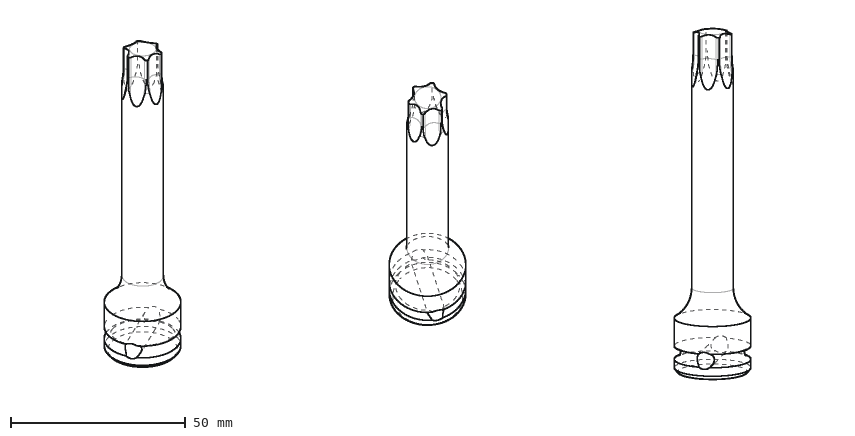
import cadquery as cq
import math

total_length = 100.0
base_radius = 11.0
base_chamfer_width = 1.0
base_chamfer_height = 1.2
collar_top = 15.8
shank_radius = 6.0
neck_radius = 10.4

ring_groove_bottom = 3.7
ring_groove_top = 7.6
ring_groove_radius = 9.2
pin_hole_diameter = 5.0
pin_hole_height = (ring_groove_bottom + ring_groove_top) / 2

lobe_count = 6
lobe_tip_radius = 5.7
lobe_rounding = 0.7
crest_land_width = 0.4
crest_flare_bottom = 88.7
flute_floor_radius = 4.1
flute_straight_bottom = 93.0
flute_end = 84.2
end_face_radius = 3.8
end_bevel_height = 0.6
clearance = 1.0

neck_rise = math.sqrt(neck_radius**2 - (neck_radius - base_radius + shank_radius) ** 2)
neck_top = collar_top + neck_rise
neck_mid_angle = math.asin(neck_rise / neck_radius) / 2
neck_mid = (
    shank_radius + neck_radius * (1 - math.cos(neck_mid_angle)),
    neck_top - neck_radius * math.sin(neck_mid_angle),
)

half_pitch = math.pi / lobe_count
lobe_center_radius = lobe_tip_radius - lobe_rounding
flute_radius = (
    lobe_center_radius**2
    + flute_floor_radius**2
    - 2 * lobe_center_radius * flute_floor_radius * math.cos(half_pitch)
    - lobe_rounding**2
) / (2 * (lobe_rounding + lobe_center_radius * math.cos(half_pitch) - flute_floor_radius))
flute_center_radius = flute_floor_radius + flute_radius

land_angle = math.asin(crest_land_width / 2 / lobe_rounding)
crest_radius = math.hypot(
    lobe_center_radius + lobe_rounding * math.cos(land_angle), crest_land_width / 2
)

flare_height = flute_straight_bottom - crest_flare_bottom
flare_depth = shank_radius - crest_radius
flare_radius = (flare_height**2 + flare_depth**2) / (2 * flare_depth)
flare_mid_angle = math.asin(flare_height / flare_radius) / 2
flare_mid = (
    crest_radius + flare_radius * (1 - math.cos(flare_mid_angle)),
    flute_straight_bottom - flare_radius * math.sin(flare_mid_angle),
)

runout_length = flute_straight_bottom - flute_end
runout_depth = shank_radius - flute_floor_radius
runout_radius = (runout_length**2 + runout_depth**2) / (2 * runout_depth)


def make_body():
    """Turned collar, retaining groove, neck, shank and bevelled end."""
    return (
        cq.Workplane("XZ")
        .moveTo(0, 0)
        .lineTo(base_radius - base_chamfer_width, 0)
        .lineTo(base_radius, base_chamfer_height)
        .lineTo(base_radius, ring_groove_bottom)
        .threePointArc((ring_groove_radius, pin_hole_height), (base_radius, ring_groove_top))
        .lineTo(base_radius, collar_top)
        .threePointArc(neck_mid, (shank_radius, neck_top))
        .lineTo(shank_radius, crest_flare_bottom)
        .threePointArc(flare_mid, (crest_radius, flute_straight_bottom))
        .lineTo(crest_radius, total_length - end_bevel_height)
        .lineTo(end_face_radius, total_length)
        .lineTo(0, total_length)
        .close()
        .revolve(360, (0, 0, 0), (0, 1, 0))
    )


def flute_section():
    """Space between two neighbouring lobe crests, centred on the X axis."""
    lobe_x = lobe_center_radius * math.cos(half_pitch)
    lobe_y = lobe_center_radius * math.sin(half_pitch)
    tangent_angle = math.atan2(-lobe_y, flute_center_radius - lobe_x)
    land_edge_angle = half_pitch - land_angle
    mid_angle = (land_edge_angle + tangent_angle) / 2

    def on_lobe(angle, side):
        x = lobe_x + lobe_rounding * math.cos(angle)
        y = lobe_y + lobe_rounding * math.sin(angle)
        return (x, side * y)

    land_x, land_y = on_lobe(land_edge_angle, 1)
    outer_x = shank_radius + clearance
    outer_y = land_y + (outer_x - land_x) * math.tan(half_pitch)
    return (
        cq.Workplane("XY", origin=(0, 0, flute_straight_bottom))
        .moveTo(outer_x, -outer_y)
        .lineTo(*on_lobe(land_edge_angle, -1))
        .threePointArc(on_lobe(mid_angle, -1), on_lobe(tangent_angle, -1))
        .threePointArc((flute_floor_radius, 0), on_lobe(tangent_angle, 1))
        .threePointArc(on_lobe(mid_angle, 1), on_lobe(land_edge_angle, 1))
        .lineTo(outer_x, outer_y)
        .close()
    )


def make_flute_cutter():
    """Straight flute with a curved runout below it."""
    straight = flute_section().extrude(total_length - flute_straight_bottom + clearance)
    pivot_x = flute_floor_radius + runout_radius
    runout_angle = math.degrees(math.asin((runout_length + clearance) / runout_radius))
    runout = flute_section().revolve(runout_angle, (pivot_x, 0, 0), (pivot_x, -1, 0))
    return straight.union(runout)


result = make_body()

flute_cutter = make_flute_cutter()
for index in range(lobe_count):
    angle = 90 + index * 360 / lobe_count
    result = result.cut(flute_cutter.rotate((0, 0, 0), (0, 0, 1), angle))

pin_hole = (
    cq.Workplane("XZ", origin=(0, 0, pin_hole_height))
    .circle(pin_hole_diameter / 2)
    .extrude(base_radius + clearance, both=True)
)
result = result.cut(pin_hole)